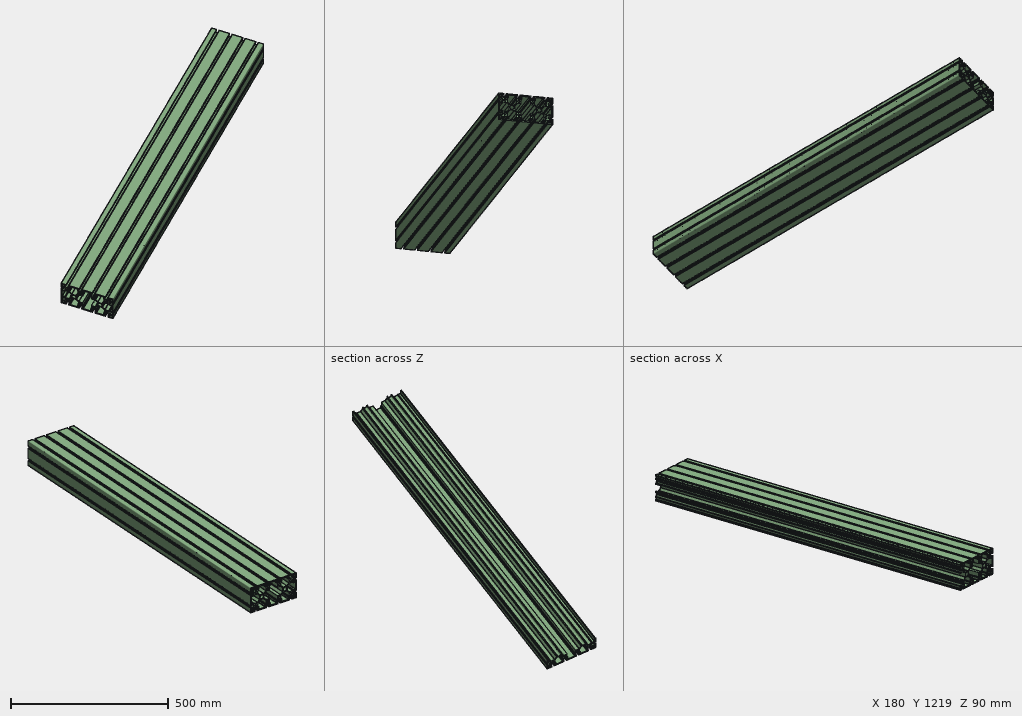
import cadquery as cq
import math

length = 1219.0
width = 180.0
height = 90.0
columns = 4
module = width / columns
corner_radius = 3.0

skin = 4.4
face_depth = module / 2
slot_opening = 9.0
cavity_width = 15.0
slot_wall = 3.0
half_channel = cavity_width / 2 + slot_wall
cavity_taper_depth = 11.0
channel_taper_depth = 10.0
cavity_floor_depth = 7.9
cavity_floor_width = 4.0

core_side = 15.0
core_bore = 7.0

hub_side = 18.0
hub_bore = 13.0
web_thickness = 2.7

cell_x = [(i - (columns - 1) / 2) * module for i in range(columns)]
cell_z = [-module / 2, module / 2]
cell_centres = [(x, z) for x in cell_x for z in cell_z]
hub_centres = [(-module, 0), (module, 0)]

slots = [(x, z, math.copysign(90, z)) for x, z in cell_centres]
slots += [(cell_x[0], z, 180) for z in cell_z]
slots += [(cell_x[-1], z, 0) for z in cell_z]


def section():
    """Workplane on the front end, with X and Z as its axes."""
    return cq.Workplane("XZ", origin=(0, -length / 2, 0))


def bar(sketch):
    """Extrude a section sketch over the full length."""
    return sketch.extrude(-length)


def placed(shape, x, z, angle):
    """Turn a shape drawn around the origin, facing +X, up toward +Z by angle and move it to x, z."""
    return shape.rotate((0, 0, 0), (0, 1, 0), -angle).translate((x, 0, z))


def mirrored(upper_half):
    """Complete a half outline with its mirror image below the axis."""
    return upper_half + [(depth, -across) for depth, across in reversed(upper_half)]


def outer_skin():
    """Rectangular tube with rounded outer corners."""
    outside = bar(section().rect(width, height)).edges("|Y").fillet(corner_radius)
    inside = bar(section().rect(width - 2 * skin, height - 2 * skin))
    return outside.cut(inside)


def slot_channel():
    """Solid channel from a core to the skin that narrows to the core, before its cavity is cut."""
    half_core = core_side / 2
    outer = face_depth - skin / 2
    upper_half = [
        (half_core, half_core),
        (channel_taper_depth, half_channel),
        (outer, half_channel),
    ]
    return bar(section().polyline(mirrored(upper_half)).close())


def slot_cavity():
    """T-slot: narrow mouth, wide cavity and sides sloping to a narrow floor."""
    lip = face_depth - skin
    upper_half = [
        (cavity_floor_depth, cavity_floor_width / 2),
        (cavity_taper_depth, cavity_width / 2),
        (lip, cavity_width / 2),
        (lip, slot_opening / 2),
        (face_depth, slot_opening / 2),
    ]
    return bar(section().polyline(mirrored(upper_half)).close())


def diagonal_web(hub, core):
    """Thin web from a hub centre to a core centre."""
    run = core[0] - hub[0]
    rise = core[1] - hub[1]
    middle = ((hub[0] + core[0]) / 2, (hub[1] + core[1]) / 2)
    web = bar(section().rect(math.hypot(run, rise), web_thickness))
    angle = math.degrees(math.atan2(rise, run))
    return placed(web, *middle, angle)


profile = outer_skin()

profile = profile.union(bar(section().pushPoints(cell_centres).rect(core_side, core_side)))
profile = profile.union(bar(section().pushPoints(hub_centres).rect(hub_side, hub_side)))
for hub in hub_centres:
    for core in cell_centres:
        if abs(core[0] - hub[0]) < module:
            profile = profile.union(diagonal_web(hub, core))

block_side = half_channel
block_x = cell_x[-1] + block_side / 2
block_z = cell_z[-1] + block_side / 2
corner_blocks = [(x, z) for x in (-block_x, block_x) for z in (-block_z, block_z)]
profile = profile.union(bar(section().pushPoints(corner_blocks).rect(block_side, block_side)))

for slot in slots:
    profile = profile.union(placed(slot_channel(), *slot))
for slot in slots:
    profile = profile.cut(placed(slot_cavity(), *slot))

profile = profile.cut(bar(section().pushPoints(cell_centres).circle(core_bore / 2)))
profile = profile.cut(bar(section().pushPoints(hub_centres).circle(hub_bore / 2)))

result = profile